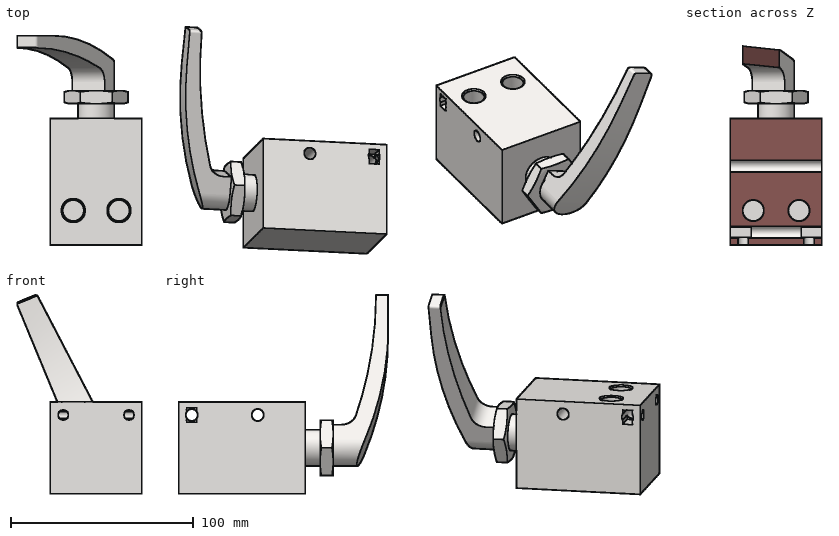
import cadquery as cq
import math


body_width = 50.2
body_length = 69.3
hole_inset = 7.1
cross_hole_spacing = 36.1
cross_hole_diameter = 6.4
front_hole_diameter = 5.5
slot_width = 5.5
slot_height = 8.0
slot_depth = 11.5
port_diameter = 11.5
port_chamfer = 0.8
port_chamfer_angle = 45
port_depth = 13.7
port_spacing = 25.0
port_setback = 18.9
shaft_diameter = 20.0

nut_gap = 8.0
nut_thickness = 7.1
nut_sides = 6
nut_across_flats = 30.2
nut_chamfer_height = 0.7

lever_tilt = 22.5
lever_taper = 5.0
lever_reach = 90.0
lever_back = 114.5
lever_tip_thickness = 6.8
back_arc_start = 70.1
back_arc_radius = 194.6
front_arc_radius = 251.9
root_fillet = 8.1
tip_corner_radius = 1.5
tip_edge_length = 0.8
tip_edge_drop = 0.3

half_width = body_width / 2
shaft_radius = shaft_diameter / 2
nut_start = body_length + nut_gap
nut_end = nut_start + nut_thickness
lever_front = lever_back - lever_tip_thickness
front_arc_start = lever_reach - tip_edge_length


def shaft_cylinder(start, end):
    """Cylinder of the shaft diameter on the Y axis, from y = start to y = end."""
    return cq.Workplane("XZ", origin=(0, start, 0)).circle(shaft_radius).extrude(start - end)


def make_housing():
    """Valve block with a round bushing on its rear face."""
    block = cq.Workplane("XY", origin=(0, body_length / 2, 0)).box(body_width, body_length, body_width)
    block = block.union(shaft_cylinder(body_length, nut_end))

    hole_z = half_width - hole_inset

    for hole_y in (hole_inset, hole_inset + cross_hole_spacing):
        cross_hole = (
            cq.Workplane("YZ", origin=(-half_width, hole_y, hole_z))
            .circle(cross_hole_diameter / 2)
            .extrude(body_width)
        )
        block = block.cut(cross_hole)

    for side in (-1, 1):
        slot_center = (side * (half_width - slot_depth / 2), hole_inset, hole_z)
        slot = cq.Workplane("XY", origin=slot_center).box(slot_depth, slot_width, slot_height)
        block = block.cut(slot)
        front_hole = (
            cq.Workplane("XZ", origin=(side * (half_width - hole_inset), 0, hole_z))
            .circle(front_hole_diameter / 2)
            .extrude(-hole_inset)
        )
        block = block.cut(front_hole)

    for side in (-1, 1):
        port_center = (side * port_spacing / 2, port_setback, half_width)
        port = cq.Workplane("XY", origin=port_center).circle(port_diameter / 2).extrude(-port_depth)
        mouth = (
            cq.Workplane("XY", origin=port_center)
            .circle(port_diameter / 2 + port_chamfer)
            .extrude(-port_chamfer, taper=port_chamfer_angle)
        )
        block = block.cut(port).cut(mouth)
    return block


def make_nut():
    """Hexagonal nut around the bushing, with conical chamfers on both end faces."""
    corner_radius = nut_across_flats / 2 / math.cos(math.pi / nut_sides)
    chamfer_width = corner_radius - nut_across_flats / 2
    plane = cq.Workplane("XZ", origin=(0, nut_start, 0))
    hexagon = plane.polygon(nut_sides, 2 * corner_radius).extrude(-nut_thickness)
    envelope = (
        plane.circle(corner_radius)
        .extrude(-nut_thickness)
        .faces("<Y or >Y")
        .chamfer(nut_chamfer_height, chamfer_width)
    )
    return hexagon.intersect(envelope).cut(shaft_cylinder(nut_start, nut_end))


def make_lever():
    """Curved tapering handle that grows from the shaft behind the nut."""

    def back_arc_y(z):
        drop = back_arc_start - z
        return lever_back - back_arc_radius + math.sqrt(back_arc_radius**2 - drop**2)

    def front_arc_y(z):
        drop = front_arc_start - z
        return lever_front - front_arc_radius + math.sqrt(front_arc_radius**2 - drop**2)

    back_mid_z = (back_arc_start - shaft_radius) / 2
    front_mid_z = (front_arc_start + shaft_radius) / 2
    curved_bar = (
        cq.Workplane("YZ", origin=(-shaft_radius, 0, 0))
        .moveTo(nut_end, -shaft_radius)
        .lineTo(back_arc_y(-shaft_radius), -shaft_radius)
        .threePointArc((back_arc_y(back_mid_z), back_mid_z), (lever_back, back_arc_start))
        .lineTo(lever_back, lever_reach)
        .lineTo(lever_front + tip_edge_drop, lever_reach)
        .lineTo(lever_front, front_arc_start)
        .threePointArc((front_arc_y(front_mid_z), front_mid_z), (front_arc_y(shaft_radius), shaft_radius))
        .lineTo(nut_end, shaft_radius)
        .close()
        .extrude(shaft_diameter)
    )
    root_point = (0, front_arc_y(shaft_radius), shaft_radius)
    curved_bar = curved_bar.edges(cq.NearestToPointSelector(root_point)).fillet(root_fillet)

    taper = math.radians(lever_taper)
    tangent_point = (shaft_radius * math.cos(taper), shaft_radius * math.sin(taper))
    tip_x = (shaft_radius - lever_reach * math.sin(taper)) / math.cos(taper)
    outline = (
        cq.Workplane("XZ", origin=(0, nut_end, 0))
        .moveTo(-shaft_radius, 0)
        .lineTo(-shaft_radius, lever_reach)
        .lineTo(tip_x, lever_reach)
        .lineTo(*tangent_point)
        .threePointArc((0, -shaft_radius), (-shaft_radius, 0))
        .close()
        .extrude(nut_end - lever_back)
        .edges("|Y and >Z")
        .fillet(tip_corner_radius)
    )
    lever = curved_bar.intersect(outline)
    return lever.rotate((0, 0, 0), (0, 1, 0), -lever_tilt)


housing = make_housing()
nut = make_nut()
lever = make_lever()

result = cq.Compound.makeCompound([housing.val(), nut.val(), lever.val()])